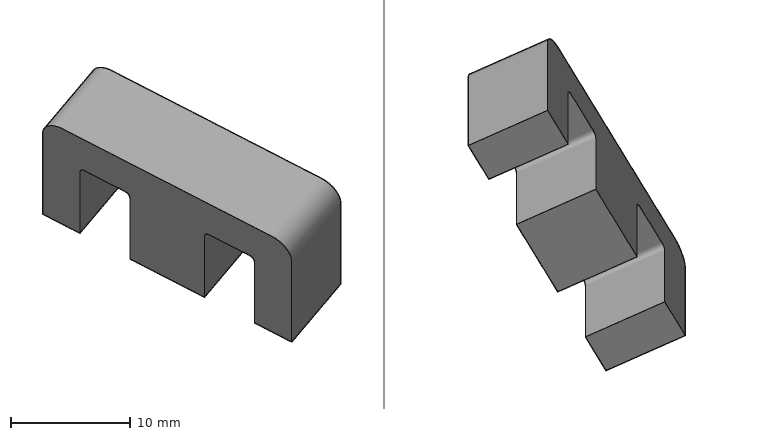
import cadquery as cq

length = 25.0
depth = 7.5
height = 12.8

outer_leg_width = 3.75
center_leg_width = 7.5
slot_width = (length - center_leg_width) / 2 - outer_leg_width
slot_height = 8.7
slot_offset = (center_leg_width + slot_width) / 2

outer_corner_radius = 2.0
slot_corner_radius = 0.5


def rounded_top_block(width, block_depth, block_height, radius):
    """Block standing on Z = 0, with its two top edges along Y rounded."""
    block = cq.Workplane("XY").box(width, block_depth, block_height, centered=(True, True, False))
    return block.edges("|Y and >Z").fillet(radius)


result = rounded_top_block(length, depth, height, outer_corner_radius)

slot = rounded_top_block(slot_width, depth, slot_height, slot_corner_radius)
for side in (-1, 1):
    result = result.cut(slot.translate((side * slot_offset, 0, 0)))